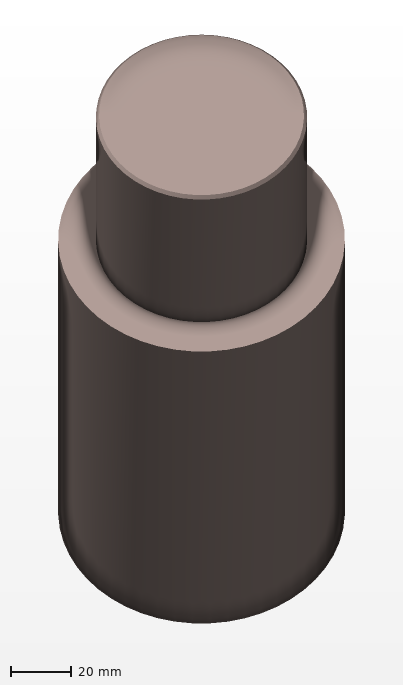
import cadquery as cq

total_height = 210.0
body_diameter = 95.0
spigot_diameter = 70.0
spigot_height = 66.0
rim_chamfer = 1.0

body_height = total_height - spigot_height

body = cq.Workplane("XY").circle(body_diameter / 2).extrude(body_height)

spigot = (
    cq.Workplane("XY", origin=(0, 0, body_height))
    .circle(spigot_diameter / 2)
    .extrude(spigot_height)
    .faces(">Z")
    .chamfer(rim_chamfer)
)

result = body.union(spigot)